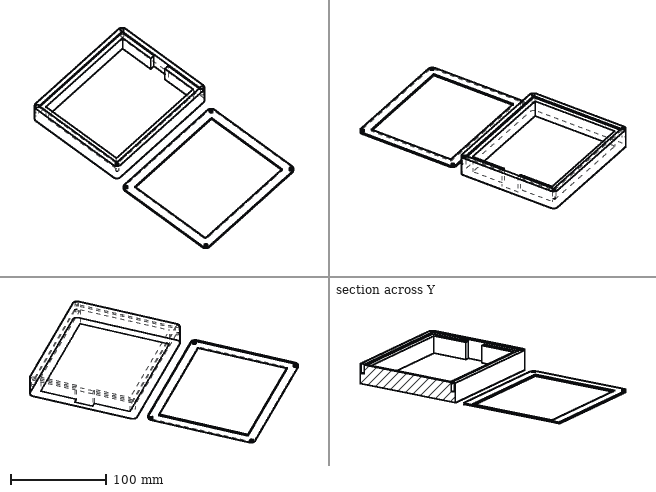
import cadquery as cq

width = 119.5
length = 140.0
corner_radius = 5.0
tray_height = 22.0
floor_thickness = 1.0
rim_width = 5.0
ledge_width = 5.0
recess_depth = 2.0
notch_width = 20.0
frame_thickness = 2.0
frame_border = 10.0
frame_shift_x = 130.0
frame_shift_y = -5.0
hole_inset = 3.5
hole_diameter = 3.5
tray_hole_depth = 10.0

recess_width = width - 2 * rim_width
recess_length = length - 2 * rim_width
cavity_width = recess_width - 2 * ledge_width
cavity_length = recess_length - 2 * ledge_width
hole_spacing_x = width - 2 * hole_inset
hole_spacing_y = length - 2 * hole_inset


def block(size_x, size_y, bottom, top):
    """Box centred on the Z axis between two heights."""
    return cq.Workplane("XY").workplane(offset=bottom).rect(size_x, size_y).extrude(top - bottom)


def rounded_plate(height):
    """Outer outline shared by both bodies."""
    return block(width, length, 0, height).edges("|Z").fillet(corner_radius)


def corner_holes(bottom, top):
    """Cylinders at the four screw positions."""
    return (
        cq.Workplane("XY")
        .workplane(offset=bottom)
        .rect(hole_spacing_x, hole_spacing_y, forConstruction=True)
        .vertices()
        .circle(hole_diameter / 2)
        .extrude(top - bottom)
    )


def make_tray():
    """Open tray with a lid recess, a ledge and blind screw holes."""
    cavity = block(cavity_width, cavity_length, floor_thickness, tray_height)
    recess = block(recess_width, recess_length, tray_height - recess_depth, tray_height)
    notch_centre_y = (cavity_length + ledge_width) / 2
    notch = block(notch_width, ledge_width, floor_thickness, tray_height).translate((0, notch_centre_y, 0))
    holes = corner_holes(tray_height - tray_hole_depth, tray_height)
    return rounded_plate(tray_height).cut(cavity).cut(recess).cut(notch).cut(holes)


def make_frame():
    """Flat frame with a rectangular window and through screw holes."""
    window = block(width - 2 * frame_border, length - 2 * frame_border, 0, frame_thickness)
    holes = corner_holes(0, frame_thickness)
    frame = rounded_plate(frame_thickness).cut(window).cut(holes)
    return frame.translate((frame_shift_x, frame_shift_y, 0))


tray = make_tray()
frame = make_frame()
result = cq.Compound.makeCompound([tray.val(), frame.val()])